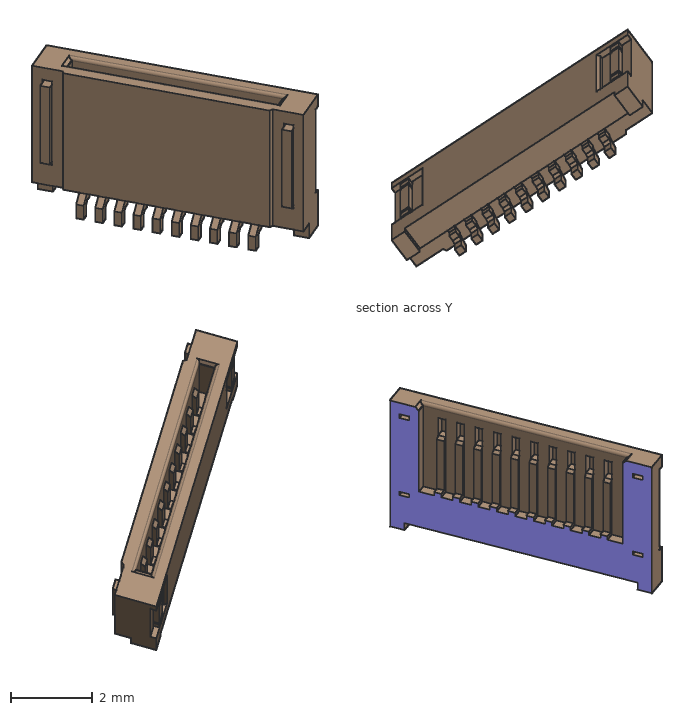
import cadquery as cq


width = 7.1
end_depth = 1.065
plate_depth = 1.15
plate_half_width = 2.75
plate_side_run = 0.05
front_height = 3.33
rear_height = 3.54
rear_depth = 0.65
foot_width = 0.4
foot_height = 3.75

socket_half_width = 2.755
socket_rear = 0.355
socket_front = 0.75
socket_depth = 2.485
mouth_bevel = 0.1
mouth_radius = 0.085

contact_count = 10
contact_span = 4.5
pitch = contact_span / (contact_count - 1)
contact_width = 0.2
groove_top = 0.34
groove_depth = 0.21
groove_rear = socket_rear - groove_depth
tip_top = 0.85
rear_bump = 0.08
front_bump = 0.115
front_bump_drop = 0.185
contact_base = 0.1

front_limit = 1.2
leg_thickness = 0.205
leg_bottom = 4.05
leg_arm_bottom = 3.42
leg_rear = 0.76
leg_top_front = 0.945
leg_slope_end = 3.65
leg_knee_bottom = 3.635
leg_knee_front = 0.915

clip_center = 3.16
clip_width = 0.255
clip_slot_top = 0.35
clip_slot_bottom = 2.73
clip_top = 0.45
clip_bottom = 2.65
clip_groove_spans = [(0.7, 0.795), (2.29, 2.4)]

notch_depth = 0.15
notch_bevel = 0.07
notch_inner = 2.68


def block(x_min, x_max, front, rear, top, bottom):
    """Box given by X limits, distances in front of the rear face and depths below the top."""
    size = (x_max - x_min, front - rear, bottom - top)
    return cq.Workplane("XY").box(*size, centered=False).translate((x_min, -front, -bottom))


def side_profile(points, x_center, length):
    """Outline of (distance from rear face, depth below top) points, extruded along X."""
    outline = [(-distance, -depth) for distance, depth in points]
    face = cq.Workplane("YZ", origin=(x_center, 0, 0)).polyline(outline).close()
    return face.extrude(length / 2, both=True)


def make_housing():
    half = width / 2
    plate_flat = plate_half_width - plate_side_run
    outline = [
        (-half, 0), (half, 0), (half, -end_depth), (plate_half_width, -end_depth),
        (plate_flat, -plate_depth), (-plate_flat, -plate_depth),
        (-plate_half_width, -end_depth), (-half, -end_depth),
    ]
    body = cq.Workplane("XY").polyline(outline).close().extrude(-front_height)
    body = body.union(block(-half, half, rear_depth, 0, 0, rear_height))
    for foot_start in (-half, half - foot_width):
        body = body.union(block(foot_start, foot_start + foot_width, rear_depth, 0, 0, foot_height))
    return body


def make_socket():
    cavity = block(-socket_half_width, socket_half_width, socket_front, socket_rear, 0, socket_depth)
    mouth_half_width = socket_half_width + mouth_bevel
    mouth_rounded = (
        cq.Workplane("YZ")
        .moveTo(-socket_rear + mouth_radius, 0)
        .radiusArc((-socket_rear, -mouth_radius), -mouth_radius)
        .lineTo(-socket_front, -mouth_radius)
        .radiusArc((-socket_front - mouth_radius, 0), -mouth_radius)
        .close()
        .extrude(mouth_half_width, both=True)
    )
    mouth_bevelled = (
        cq.Workplane("XZ")
        .polyline([
            (-mouth_half_width, 0), (mouth_half_width, 0),
            (socket_half_width, -mouth_bevel), (-socket_half_width, -mouth_bevel),
        ])
        .close()
        .extrude(plate_depth)
    )
    return cavity.union(mouth_rounded.intersect(mouth_bevelled))


def make_groove(x_center):
    half = contact_width / 2
    return block(x_center - half, x_center + half, socket_rear, groove_rear, groove_top, socket_depth)


def make_contact(x_center):
    """Fork inside the socket: a rear arm in its groove, a front arm and a base."""
    base_top = socket_depth - contact_base
    rear_face = socket_rear + rear_bump
    front_face = socket_front - front_bump
    return side_profile([
        (groove_rear, tip_top), (socket_rear, tip_top), (rear_face, tip_top + rear_bump),
        (rear_face, base_top), (front_face, base_top), (front_face, tip_top + front_bump_drop),
        (socket_front, tip_top), (socket_front, socket_depth), (groove_rear, socket_depth),
    ], x_center, contact_width)


def make_leg(x_center):
    """Solder leg bent forward and down from under the housing."""
    foot_rear = front_limit - leg_thickness
    knee_drop = foot_rear - leg_knee_front
    return side_profile([
        (rear_depth, front_height), (leg_top_front, front_height), (leg_top_front, leg_arm_bottom),
        (front_limit, leg_slope_end), (front_limit, leg_bottom), (foot_rear, leg_bottom),
        (foot_rear, leg_knee_bottom + knee_drop), (leg_knee_front, leg_knee_bottom),
        (leg_rear, leg_knee_bottom), (leg_rear, leg_arm_bottom), (rear_depth, leg_arm_bottom),
    ], x_center, contact_width)


def make_rear_notch(side):
    """Notch in the rear corner, with a bevel where its inner wall meets the rear face."""
    outline = [
        (side * width / 2, 0), (side * (notch_inner - notch_bevel), 0), (side * notch_inner, -notch_bevel),
        (side * notch_inner, -notch_depth), (side * width / 2, -notch_depth),
    ]
    notch = cq.Workplane("XY", origin=(0, 0, -clip_slot_bottom)).polyline(outline).close()
    return notch.extrude(clip_slot_bottom - clip_slot_top)


def clip_block(side, front, rear, top, bottom):
    center = side * clip_center
    return block(center - clip_width / 2, center + clip_width / 2, front, rear, top, bottom)


def make_clip(side):
    """Retention clip with two grooves across its rear edge."""
    clip = clip_block(side, front_limit, 0, clip_top, clip_bottom)
    for groove_start, groove_end in clip_groove_spans:
        clip = clip.cut(clip_block(side, notch_depth, 0, groove_start, groove_end))
    return clip


result = make_housing().cut(make_socket())

for index in range(contact_count):
    contact_x = (index - (contact_count - 1) / 2) * pitch
    result = result.cut(make_groove(contact_x))
    result = result.union(make_contact(contact_x)).union(make_leg(contact_x))

for side in (-1, 1):
    result = result.cut(make_rear_notch(side))
    result = result.cut(clip_block(side, end_depth, 0, clip_slot_top, clip_slot_bottom))
    result = result.union(make_clip(side))